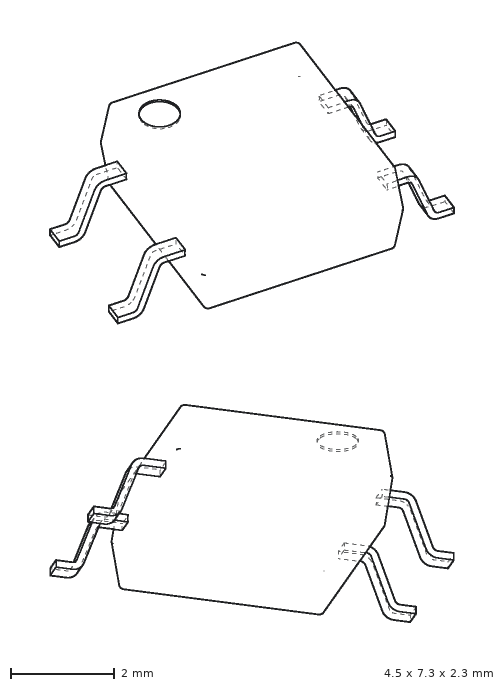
import cadquery as cq
import math

HOUSING_X = 4.5
HOUSING_Y = 4.395
HOUSING_HEIGHT = 2.1
STANDOFF = 0.2
DRAFT_ANGLE = 7.0
EDGE_RADIUS = 0.1
PARTING_Z = STANDOFF + HOUSING_HEIGHT / 2

MARK_DIAMETER = 0.8
MARK_DEPTH = 0.045
MARK_X = -1.365
MARK_Y = -1.32

TIP_TO_TIP = 7.3
LEAD_PITCH = 2.54
LEAD_WIDTH = 0.4
LEAD_THICKNESS = 0.15
FOOT_LENGTH = 0.33
BEND_ANGLE = 70.0
BEND_INNER_RADIUS = 0.1
BEND_OUTER_RADIUS = BEND_INNER_RADIUS + LEAD_THICKNESS
SHOULDER_TOP_Z = PARTING_Z + LEAD_THICKNESS / 2
LEAD_OVERRUN = 0.145


def make_half(direction):
    """Drafted half of the housing, above (+1) or below (-1) the parting plane."""
    half = (
        cq.Workplane("XY")
        .rect(HOUSING_X, HOUSING_Y)
        .extrude(direction * HOUSING_HEIGHT / 2, taper=DRAFT_ANGLE)
    )
    drafted_corners = half.edges("not(#Z)")
    end_face = ">Z" if direction > 0 else "<Z"
    rounded = drafted_corners.fillet(EDGE_RADIUS).faces(end_face).edges().fillet(EDGE_RADIUS)
    return rounded.translate((0, 0, PARTING_Z))


def make_housing():
    """Both halves as one solid, with the round mark sunk into the top."""
    mark = (
        cq.Workplane("XY", origin=(MARK_X, MARK_Y, STANDOFF + HOUSING_HEIGHT))
        .circle(MARK_DIAMETER / 2)
        .extrude(-MARK_DEPTH)
    )
    return make_half(1).union(make_half(-1)).cut(mark)


def bend_point(center, radius, angle):
    """Point on a bend arc; the angle in degrees is measured from +Y towards +Z."""
    radians = math.radians(angle)
    return (center[0] + radius * math.cos(radians), center[1] + radius * math.sin(radians))


def make_front_lead(housing):
    """Lead on the -Y side at X = 0, trimmed to sit against the housing face."""
    tip_y = -TIP_TO_TIP / 2
    inner_end_y = -HOUSING_Y / 2 + LEAD_OVERRUN
    turn = math.radians(BEND_ANGLE)

    rise = SHOULDER_TOP_Z - LEAD_THICKNESS
    bend_radii = BEND_INNER_RADIUS + BEND_OUTER_RADIUS
    leg_rise = rise - bend_radii * (1 - math.cos(turn))
    leg_run = leg_rise / math.tan(turn)

    foot_center = (tip_y + FOOT_LENGTH, BEND_OUTER_RADIUS)
    shoulder_center = (
        foot_center[0] + bend_radii * math.sin(turn) + leg_run,
        SHOULDER_TOP_Z - BEND_OUTER_RADIUS,
    )
    foot_start, foot_mid, foot_end = -90, -90 + BEND_ANGLE / 2, -90 + BEND_ANGLE
    shoulder_start, shoulder_mid, shoulder_end = 90 + BEND_ANGLE, 90 + BEND_ANGLE / 2, 90

    profile = (
        cq.Workplane("YZ")
        .moveTo(tip_y, 0)
        .lineTo(*bend_point(foot_center, BEND_OUTER_RADIUS, foot_start))
        .threePointArc(
            bend_point(foot_center, BEND_OUTER_RADIUS, foot_mid),
            bend_point(foot_center, BEND_OUTER_RADIUS, foot_end),
        )
        .lineTo(*bend_point(shoulder_center, BEND_INNER_RADIUS, shoulder_start))
        .threePointArc(
            bend_point(shoulder_center, BEND_INNER_RADIUS, shoulder_mid),
            bend_point(shoulder_center, BEND_INNER_RADIUS, shoulder_end),
        )
        .lineTo(inner_end_y, SHOULDER_TOP_Z - LEAD_THICKNESS)
        .lineTo(inner_end_y, SHOULDER_TOP_Z)
        .lineTo(*bend_point(shoulder_center, BEND_OUTER_RADIUS, shoulder_end))
        .threePointArc(
            bend_point(shoulder_center, BEND_OUTER_RADIUS, shoulder_mid),
            bend_point(shoulder_center, BEND_OUTER_RADIUS, shoulder_start),
        )
        .lineTo(*bend_point(foot_center, BEND_INNER_RADIUS, foot_end))
        .threePointArc(
            bend_point(foot_center, BEND_INNER_RADIUS, foot_mid),
            bend_point(foot_center, BEND_INNER_RADIUS, foot_start),
        )
        .lineTo(tip_y, LEAD_THICKNESS)
        .close()
    )
    return profile.extrude(LEAD_WIDTH / 2, both=True).cut(housing)


def make_leads(housing):
    """Two leads on the -Y side and two facing them on the +Y side."""
    front_lead = make_front_lead(housing)
    leads = []
    for side_turn in (0, 180):
        for x in (-LEAD_PITCH / 2, LEAD_PITCH / 2):
            lead = front_lead.rotate((0, 0, 0), (0, 0, 1), side_turn).translate((x, 0, 0))
            leads.append(lead.solids().val())
    return leads


housing = make_housing()
leads = make_leads(housing)

result = cq.Compound.makeCompound([housing.solids().val(), *leads])